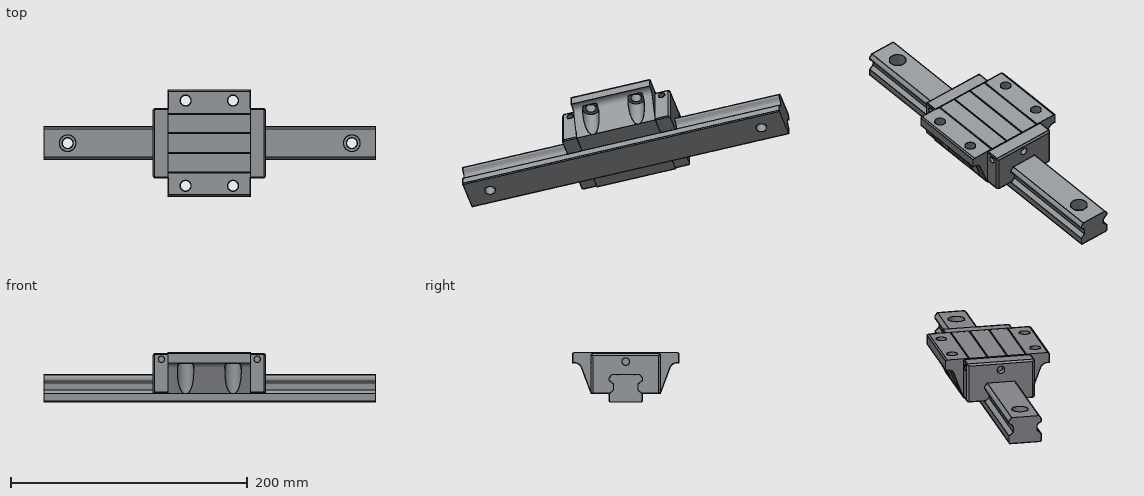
import cadquery as cq

rail_length = 280.0
rail_half_width = 14.0
rail_height = 23.2
rail_base_height = 7.0
rail_base_chamfer = 0.8
rail_neck_half_width = 10.5
rail_neck_bottom = 10.0
rail_neck_top = 15.0
rail_overhang_half_width = 11.8
rail_overhang_top = 16.5
rail_head_bottom = 18.2
rail_head_top = 20.5
rail_top_half_width = 11.8
rail_head_radius = 0.8
rail_neck_radius = 1.5
rail_hole_diameter = 9.0
rail_counterbore_diameter = 14.0
rail_counterbore_depth = 12.0
rail_hole_spacing = 240.0

carriage_center_x = -0.35
total_height = 42.0
carriage_bottom = 7.0
block_length = 69.5
flange_width = 90.0
flange_thickness = 9.0
flange_edge_chamfer_width = 1.5
flange_edge_chamfer_height = 0.8
skirt_bottom_half_width = 29.0
skirt_top_half_width = 39.0
skirt_fillet_radius = 6.2

mount_hole_diameter = 9.0
mount_pocket_diameter = 14.0
mount_pitch_x = 40.0
mount_pitch_y = 72.0
mount_pocket_depth = 9.5

groove_width = 0.8
groove_depth = 0.5
outer_groove_offset = 24.5
inner_groove_offset = 8.5

cap_length = 13.0
cap_width = 58.5
cap_drop = 0.8
cap_bottom = 7.5
cap_end_chamfer_inset = 1.7
cap_end_chamfer_length = 1.5
cap_long_edge_chamfer = 0.8
end_hole_below_top = 7.8
end_hole_diameter = 6.5
end_hole_depth = 6.5
side_hole_diameter = 5.3
side_hole_depth = 5.3
side_hole_below_top = 6.0
side_hole_pitch = 81.0

flange_underside = total_height - flange_thickness
cap_top = total_height - cap_drop


def mirrored_outline(right_half):
    """Close a right-half (y, z) outline with its mirror image about y = 0."""
    left_half = [(-y, z) for y, z in reversed(right_half)]
    return cq.Workplane("YZ").polyline(right_half + left_half).close()


def make_rail_bar():
    right_half = [
        (rail_half_width - rail_base_chamfer, 0),
        (rail_half_width, rail_base_chamfer),
        (rail_half_width, rail_base_height),
        (rail_neck_half_width, rail_neck_bottom),
        (rail_neck_half_width, rail_neck_top),
        (rail_overhang_half_width, rail_overhang_top),
        (rail_half_width, rail_head_bottom),
        (rail_half_width, rail_head_top),
        (rail_top_half_width, rail_height),
    ]
    bar = mirrored_outline(right_half).extrude(rail_length / 2, both=True)
    rounded_corners = [
        (rail_half_width, rail_head_top, rail_head_radius),
        (rail_half_width, rail_head_bottom, rail_head_radius),
        (rail_neck_half_width, rail_neck_top, rail_neck_radius),
    ]
    for y, z, radius in rounded_corners:
        for side in (-1, 1):
            corner = cq.selectors.NearestToPointSelector((0, side * y, z))
            bar = bar.edges("|X").edges(corner).fillet(radius)
    return bar


def make_rail():
    return (
        make_rail_bar()
        .faces(">Z")
        .workplane(origin=(0, 0, rail_height))
        .rarray(rail_hole_spacing, 2.8, 2, 1)
        .cboreHole(rail_hole_diameter, rail_counterbore_diameter, rail_counterbore_depth)
    )


def make_block():
    half_width = flange_width / 2
    right_half = [
        (skirt_bottom_half_width, carriage_bottom),
        (skirt_top_half_width, flange_underside),
        (half_width, flange_underside),
        (half_width, total_height - flange_edge_chamfer_height),
        (half_width - flange_edge_chamfer_width, total_height),
    ]
    block = mirrored_outline(right_half).extrude(block_length / 2, both=True)
    for side in (-1, 1):
        corner = cq.selectors.NearestToPointSelector((0, side * skirt_top_half_width, flange_underside))
        block = block.edges("|X").edges(corner).fillet(skirt_fillet_radius)
    return block


def cut_mount_holes(block):
    centers = cq.Workplane("XY").rarray(mount_pitch_x, mount_pitch_y, 2, 2)
    holes = centers.circle(mount_hole_diameter / 2).extrude(total_height)
    pockets = centers.circle(mount_pocket_diameter / 2).extrude(total_height - mount_pocket_depth)
    return block.cut(holes).cut(pockets)


def cut_top_grooves(block):
    for offset in (-outer_groove_offset, -inner_groove_offset, inner_groove_offset, outer_groove_offset):
        groove = (
            cq.Workplane("YZ")
            .moveTo(offset - groove_width / 2, total_height)
            .lineTo(offset, total_height - groove_depth)
            .lineTo(offset + groove_width / 2, total_height)
            .close()
            .extrude(block_length / 2, both=True)
        )
        block = block.cut(groove)
    return block


def make_left_cap():
    outer_x = -block_length / 2 - cap_length
    blank = (
        cq.Workplane("XY")
        .box(cap_length, cap_width, cap_top - cap_bottom, centered=(False, True, False))
        .translate((outer_x, 0, cap_bottom))
    )
    end_chamfered = blank.faces("<X").edges("|Z or >Z").chamfer(cap_end_chamfer_inset, cap_end_chamfer_length)
    cap = blank.edges("|X").chamfer(cap_long_edge_chamfer).intersect(end_chamfered)
    end_hole = (
        cq.Workplane("YZ", origin=(outer_x, 0, total_height - end_hole_below_top))
        .circle(end_hole_diameter / 2)
        .extrude(end_hole_depth)
    )
    cap = cap.cut(end_hole)
    for side in (-1, 1):
        hole_center = (-side_hole_pitch / 2, side * cap_width / 2, total_height - side_hole_below_top)
        side_hole = (
            cq.Workplane("XZ", origin=hole_center)
            .circle(side_hole_diameter / 2)
            .extrude(side * side_hole_depth)
        )
        cap = cap.cut(side_hole)
    return cap


def make_carriage():
    left_cap = make_left_cap()
    carriage = cut_top_grooves(cut_mount_holes(make_block()))
    carriage = carriage.union(left_cap).union(left_cap.mirror("YZ"))
    return carriage.translate((carriage_center_x, 0, 0)).cut(make_rail_bar())


rail = make_rail()
carriage = make_carriage()

result = cq.Compound.makeCompound([rail.val(), carriage.val()])